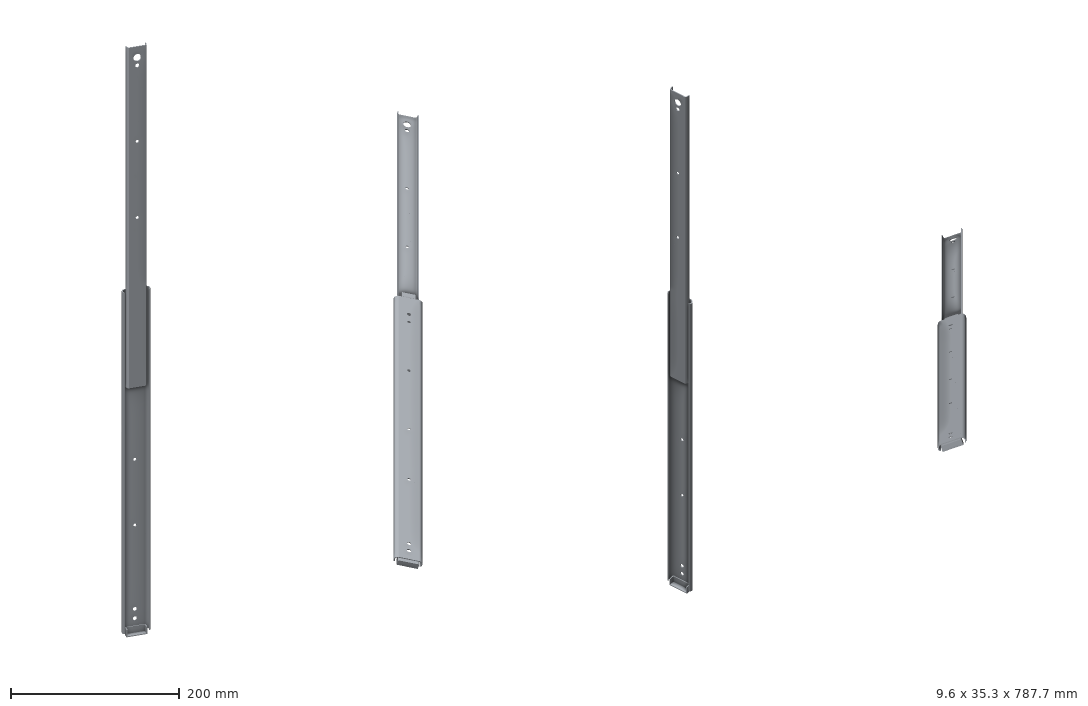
import cadquery as cq
import math


total_height = 787.7
total_depth = 9.6
outer_width = 35.27
sheet = 1.2

outer_bottom = 4.7
outer_top = 461.0
outer_depth = 8.0
outer_half = outer_width / 2
outer_bend = 5.0

cup_height = 10.0
cup_depth = 8.6
cup_half = 13.0
cup_bend = 1.5
tab_half = 8.5
tab_offset = 2.0
tab_top = 470.9
tab_jog_top = 463.4

inner_length = 455.0
inner_bottom = total_height - inner_length
inner_open_x = 3.6
inner_half = 13.0
inner_web_half = 10.7
inner_bend_depth = 4.1

small_hole_diameter = 4.0
mount_hole_diameter = 5.1
latch_hole_diameter = 9.5
outer_small_holes = [144.0, 232.0, 334.0, 419.0]
outer_mount_holes = [19.4, 32.0, 432.4]
inner_small_holes = [559.0, 661.0]
inner_mount_holes = [total_height - 25.4]
latch_holes = [total_height - 14.7]


def channel(web_x, open_x, half, web_half, bend_depth, bottom, top, curled=False):
    """Rail with its web's outer face at web_x and two flanges that end at open_x.

    Each bend is an arc that reaches the full half width bend_depth away from the web's face.
    From there the flange runs straight, or follows the same arc inward when curled.
    """
    inward = math.copysign(1, open_x - web_x)
    rise = half - web_half
    bend_radius = (bend_depth**2 + rise**2) / (2 * rise)
    bend_x = web_x + inward * bend_depth
    bend_y = half - bend_radius
    lip_length = abs(open_x - bend_x)

    def filled(inset):
        """Solid inside the rail's outer surface, moved inward by inset."""
        radius = bend_radius - inset
        web_turn = -math.asin((bend_depth - inset) / radius)
        lip_turn = math.asin(lip_length / radius) if curled else 0
        middle_turn = (web_turn + lip_turn) / 2

        def on_bend(turn, side):
            return bend_x + inward * radius * math.sin(turn), side * (bend_y + radius * math.cos(turn))

        outline = (
            cq.Workplane("XY", origin=(0, 0, bottom))
            .moveTo(*on_bend(lip_turn, -1))
            .threePointArc(on_bend(middle_turn, -1), on_bend(web_turn, -1))
            .lineTo(*on_bend(web_turn, 1))
            .threePointArc(on_bend(middle_turn, 1), on_bend(lip_turn, 1))
        )
        if not curled:
            outline = outline.lineTo(open_x, half - inset).lineTo(open_x, inset - half)
        return outline.close().extrude(top - bottom)

    return filled(0).cut(filled(sheet))


def drill(body, diameter, heights):
    """Cut round holes through the web, on the centre line."""
    for height in heights:
        cutter = cq.Workplane("YZ", origin=(0, 0, height)).circle(diameter / 2).extrude(total_depth)
        body = body.cut(cutter)
    return body


def stop_cup():
    """Cup inside the outer web that sticks out below its lower end, open upward and toward +X."""
    block = (
        cq.Workplane("XY", origin=(sheet, 0, 0))
        .box(cup_depth - sheet, 2 * cup_half, cup_height, centered=(False, True, False))
        .edges("|Z and <X")
        .fillet(cup_bend)
    )
    pocket = cq.Workplane("XY", origin=(2 * sheet, 0, sheet)).box(
        cup_depth, 2 * (cup_half - sheet), cup_height, centered=(False, True, False)
    )
    return block.cut(pocket)


def stop_tab():
    """Tongue at the upper end of the outer web, jogged inward by tab_offset."""
    return (
        cq.Workplane("XZ", origin=(0, tab_half, 0))
        .moveTo(0, outer_top)
        .lineTo(tab_offset, tab_jog_top)
        .lineTo(tab_offset, tab_top)
        .lineTo(tab_offset + sheet, tab_top)
        .lineTo(tab_offset + sheet, tab_jog_top)
        .lineTo(sheet, outer_top)
        .close()
        .extrude(2 * tab_half)
    )


def make_outer_rail():
    rail = channel(
        0, outer_depth, outer_half, outer_half - outer_bend, outer_bend, outer_bottom, outer_top, curled=True
    )
    rail = rail.union(stop_cup()).union(stop_tab())
    rail = drill(rail, small_hole_diameter, outer_small_holes)
    return drill(rail, mount_hole_diameter, outer_mount_holes)


def make_inner_rail():
    rail = channel(
        total_depth, inner_open_x, inner_half, inner_web_half, inner_bend_depth, inner_bottom, total_height
    )
    rail = drill(rail, small_hole_diameter, inner_small_holes)
    rail = drill(rail, mount_hole_diameter, inner_mount_holes)
    return drill(rail, latch_hole_diameter, latch_holes)


outer_rail = make_outer_rail()
inner_rail = make_inner_rail()

result = cq.Compound.makeCompound([outer_rail.val(), inner_rail.val()])